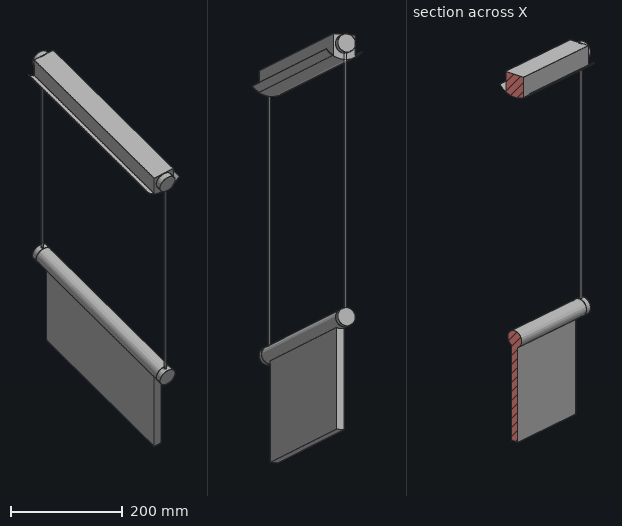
import cadquery as cq
import math

TOTAL_LENGTH = 387.0
TOTAL_HEIGHT = 718.5

CAP_LENGTH = 11.5
CAP_DIAMETER = 34.0
BAR_DIAMETER = 33.0
CORD_DIAMETER = 4.0
CORD_INSET = 7.0
BODY_LENGTH = TOTAL_LENGTH - 2 * CAP_LENGTH

HOUSING_WIDTH = 42.5
HOUSING_HEIGHT = 46.0
COVER_WIDTH = 70.5
COVER_SAG = 16.5
COVER_THICKNESS = 1.0
COVER_RADIUS = ((COVER_WIDTH / 2) ** 2 + COVER_SAG ** 2) / (2 * COVER_SAG)
COVER_BOTTOM = TOTAL_HEIGHT - HOUSING_HEIGHT
COVER_CENTER = COVER_BOTTOM + COVER_RADIUS

UPPER_AXIS = TOTAL_HEIGHT - 18.0
LOWER_AXIS = 200.5

PANEL_LENGTH = 327.0
PANEL_THICKNESS = 15.0


def rod_along_x(diameter, length, axis_height):
    """Round rod centred on X = 0."""
    rod = cq.Workplane("YZ").circle(diameter / 2).extrude(length)
    return rod.translate((-length / 2, 0, axis_height))


def cover_arc_point(radius, angle):
    """Point (Y, Z) on an arc of the cover, with the angle taken from straight down."""
    return radius * math.sin(angle), COVER_CENTER - radius * math.cos(angle)


def make_housing():
    """Square-topped housing whose underside follows the cover."""
    half_width = HOUSING_WIDTH / 2
    side_bottom = COVER_CENTER - math.sqrt(COVER_RADIUS ** 2 - half_width ** 2)
    return (
        cq.Workplane("YZ")
        .moveTo(-half_width, TOTAL_HEIGHT)
        .lineTo(-half_width, side_bottom)
        .threePointArc((0, COVER_BOTTOM), (half_width, side_bottom))
        .lineTo(half_width, TOTAL_HEIGHT)
        .close()
        .extrude(BODY_LENGTH / 2, both=True)
    )


def make_cover():
    """Thin curved strip that projects past both sides of the housing."""
    inner_radius = COVER_RADIUS - COVER_THICKNESS
    half_angle = math.asin(COVER_WIDTH / 2 / COVER_RADIUS)
    return (
        cq.Workplane("YZ")
        .moveTo(*cover_arc_point(COVER_RADIUS, -half_angle))
        .threePointArc((0, COVER_BOTTOM), cover_arc_point(COVER_RADIUS, half_angle))
        .lineTo(*cover_arc_point(inner_radius, half_angle))
        .threePointArc((0, COVER_BOTTOM + COVER_THICKNESS), cover_arc_point(inner_radius, -half_angle))
        .close()
        .extrude(BODY_LENGTH / 2, both=True)
    )


def make_end_caps(axis_height):
    """Pair of round caps, one beyond each end of the body."""
    center = (BODY_LENGTH + CAP_LENGTH) / 2
    cap = rod_along_x(CAP_DIAMETER, CAP_LENGTH, axis_height)
    return cap.translate((-center, 0, 0)).union(cap.translate((center, 0, 0)))


def make_cords():
    """Vertical cords running between the upper and lower cap axes."""
    offset = TOTAL_LENGTH / 2 - CORD_INSET
    return (
        cq.Workplane("XY", origin=(0, 0, LOWER_AXIS))
        .pushPoints([(-offset, 0), (offset, 0)])
        .circle(CORD_DIAMETER / 2)
        .extrude(UPPER_AXIS - LOWER_AXIS)
    )


def make_panel():
    """Flat panel hanging from the lower bar, joined up to the bar axis."""
    return cq.Workplane("XY").rect(PANEL_LENGTH, PANEL_THICKNESS).extrude(LOWER_AXIS)


result = (
    make_housing()
    .union(make_cover())
    .union(make_end_caps(UPPER_AXIS))
    .union(rod_along_x(BAR_DIAMETER, BODY_LENGTH, LOWER_AXIS))
    .union(make_end_caps(LOWER_AXIS))
    .union(make_cords())
    .union(make_panel())
)